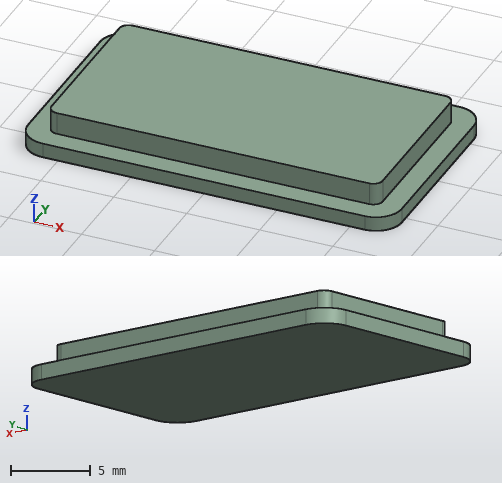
import cadquery as cq

length = 25.6
width = 14.7
total_height = 2.5
flange_thickness = 1.0
flange_corner_radius = 1.77

ledge = 1.45
block_corner_radius = 0.65


def rounded_plate(size_x, size_y, thickness, corner_radius):
    """Centred flat plate on the XY plane with rounded vertical corners."""
    plate = cq.Workplane("XY").rect(size_x, size_y).extrude(thickness)
    return plate.edges("|Z").fillet(corner_radius)


flange = rounded_plate(length, width, flange_thickness, flange_corner_radius)

block = rounded_plate(length - 2 * ledge, width - 2 * ledge, total_height, block_corner_radius)

result = flange.union(block)